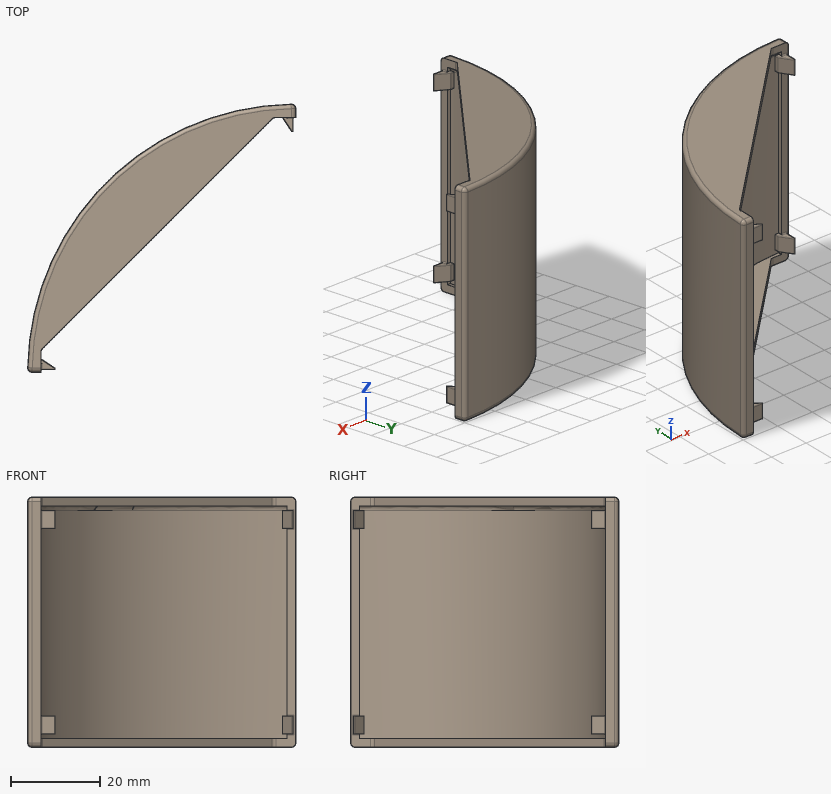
import cadquery as cq
import math

outer_radius = 60
height = 56.0
wall = 2.0
curved_wall = 1.9
cavity_round = 1.0
edge_round = 1.0

rim_depth = 3
rim_width = 5.0
rim_blend = 1.2

hook_length = 3.2
hook_base = 2.4
hook_tip = 0.3
hook_setback = 0.6
hook_height = 4.0
hook_round = 0.1
foot_fillet = 0.25
hook_inset = 3

rim_x = rim_depth - outer_radius
rim_y = outer_radius - rim_depth


def quarter_cylinder(radius, setback, bottom, top):
    """Quarter cylinder about Z whose two flat sides are moved inwards by setback."""
    end = math.sqrt(radius ** 2 - setback ** 2)
    middle = radius * math.sqrt(0.5)
    return (
        cq.Workplane("XY", origin=(0, 0, bottom))
        .moveTo(-end, setback)
        .threePointArc((-middle, middle), (-setback, end))
        .lineTo(-setback, setback)
        .close()
        .extrude(top - bottom)
    )


def open_side():
    """Volume removed in front of the rims and the 45 degree cap edges."""
    return (
        cq.Workplane("XY")
        .moveTo(0, 0)
        .lineTo(0, rim_y)
        .lineTo(-rim_width, rim_y)
        .lineTo(rim_x, rim_width)
        .lineTo(rim_x, 0)
        .close()
        .extrude(height)
        .edges("|Z and (<X or >Y)")
        .edges("not(<Y or >X)")
        .fillet(rim_blend)
    )


def hook(bottom):
    """Wedge hook on the rim at the -X end, with a root that reaches back to the curved wall."""
    root_x = curved_wall - outer_radius
    tip_x = rim_x + hook_length
    return (
        cq.Workplane("XY", origin=(0, 0, bottom))
        .moveTo(root_x, hook_setback)
        .lineTo(tip_x, hook_setback)
        .lineTo(tip_x, hook_setback + hook_tip)
        .lineTo(rim_x, hook_setback + hook_base)
        .lineTo(root_x, hook_setback + hook_base)
        .close()
        .extrude(hook_height)
        .faces("not <X")
        .edges("not <X")
        .fillet(hook_round)
    )


def foot_edges(solid, rim_point_a, rim_point_b):
    """Edges where the hooks meet a rim, found in a thin slab between two (x, y) points."""
    slab = cq.selectors.BoxSelector((*rim_point_a, wall), (*rim_point_b, height - wall))
    return solid.edges(slab)


body = (
    quarter_cylinder(outer_radius, 0, 0, height)
    .edges("%CIRCLE or #Z or (|Z and (<X or >Y))")
    .fillet(edge_round)
)

cavity = (
    quarter_cylinder(outer_radius - curved_wall, wall, wall, height - wall)
    .faces(">Z")
    .edges("%CIRCLE")
    .fillet(cavity_round)
)

result = body.cut(open_side()).cut(cavity)

for hook_bottom in (hook_inset, height - hook_inset - hook_height):
    left_hook = hook(hook_bottom)
    right_hook = left_hook.mirror(cq.Vector(1, 1, 0))
    result = result.union(left_hook).union(right_hook)

slab_half = 0.005
foot_start = hook_setback / 2
foot_end = wall - slab_half
result = foot_edges(
    result, (rim_x - slab_half, foot_start), (rim_x + slab_half, foot_end)
).fillet(foot_fillet)
result = foot_edges(
    result, (-foot_end, rim_y - slab_half), (-foot_start, rim_y + slab_half)
).fillet(foot_fillet)